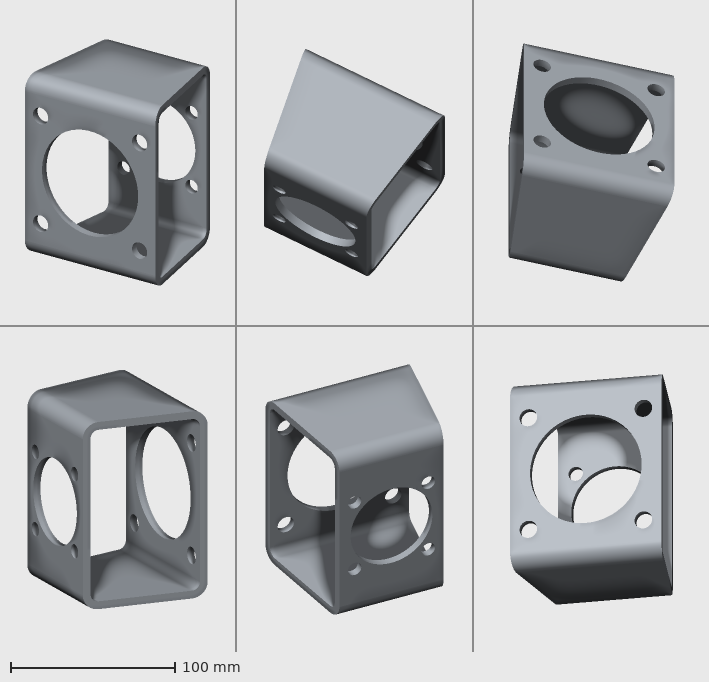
import cadquery as cq
import math

depth = 80.0
height = 120.0
wall = 5.0
outer_radius = 10.0
inner_radius = outer_radius - wall

front_length = 95.0
back_length = 70.0

front_bore = 70.0
front_bolt_hole = 11.0
front_bolt_circle = 102.0

back_bore = 55.0
back_bolt_hole = 9.0
back_bolt_circle = 70.0


def rounded_bar(bar_depth, bar_height, radius):
    """Solid bar along X, centred on the origin, with rounded long edges."""
    bar = cq.Workplane("XY").box(front_length, bar_depth, bar_height)
    return bar.edges("|X").fillet(radius)


def make_tube():
    outside = rounded_bar(depth, height, outer_radius)
    inside = rounded_bar(depth - 2 * wall, height - 2 * wall, inner_radius)
    return outside.cut(inside)


def make_taper():
    """Trapezoidal prism that gives the tube its two mitred ends."""
    outline = [
        (-front_length / 2, -depth / 2),
        (front_length / 2, -depth / 2),
        (back_length / 2, depth / 2),
        (-back_length / 2, depth / 2),
    ]
    base_plane = cq.Workplane("XY", origin=(0, 0, -height / 2))
    return base_plane.polyline(outline).close().extrude(height)


def wall_cutter(wall_center_y, bore, bolt_hole, bolt_circle):
    """Bore and bolt-hole cylinders along Y that pass through one wall only."""
    bolt_spacing = bolt_circle / math.sqrt(2)
    cutter_length = 2 * wall
    plane = cq.Workplane("XZ", origin=(0, wall_center_y + cutter_length / 2, 0))
    bore_cylinder = plane.circle(bore / 2).extrude(cutter_length)
    bolt_cylinders = (
        plane.rect(bolt_spacing, bolt_spacing, forConstruction=True)
        .vertices()
        .circle(bolt_hole / 2)
        .extrude(cutter_length)
    )
    return bore_cylinder.union(bolt_cylinders)


wall_offset = (depth - wall) / 2
front_cutter = wall_cutter(-wall_offset, front_bore, front_bolt_hole, front_bolt_circle)
back_cutter = wall_cutter(wall_offset, back_bore, back_bolt_hole, back_bolt_circle)

result = make_tube().intersect(make_taper()).cut(front_cutter).cut(back_cutter)